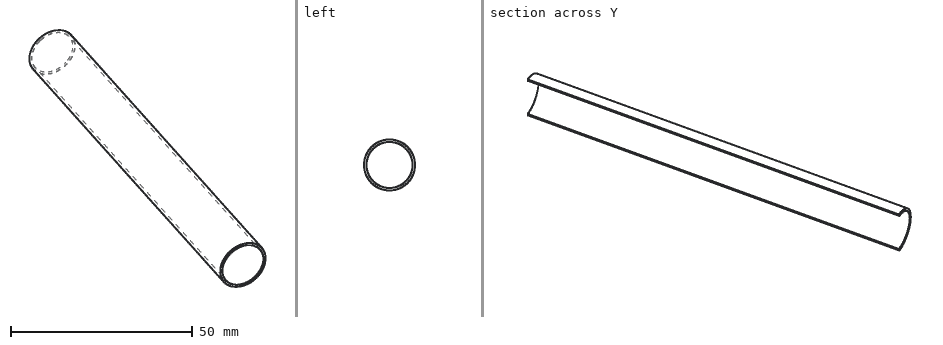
import cadquery as cq

length = 115.6
bore_diameter = 12.6
wall_thickness = 0.8
rim_chamfer = 0.101

outer_diameter = bore_diameter + 2 * wall_thickness

tube = (
    cq.Workplane("YZ")
    .workplane(offset=-length / 2)
    .circle(outer_diameter / 2)
    .circle(bore_diameter / 2)
    .extrude(length)
)

result = tube.faces("<X or >X").chamfer(rim_chamfer)